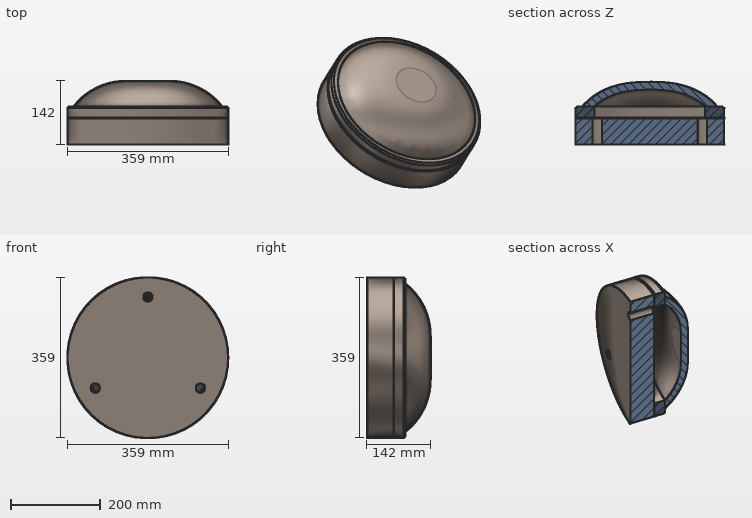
import cadquery as cq
import math

outer_radius = 179.5
total_depth = 142.0

base_depth = 58.5
gasket_depth = 2.0
rim_depth = 24.8
rim_start = base_depth + gasket_depth
rim_end = rim_start + rim_depth

gasket_inset = 2.0
rim_chamfer = 4.3
opening_radius = 140.5

hole_diameter = 20.0
hole_circle_radius = 135.5
hole_count = 3
first_hole_angle = 90.0

crown_radius = 47.7
dome_arc_radius = 150.0
arc_center_y = total_depth - dome_arc_radius
dome_foot_height = rim_end - arc_center_y
inner_arc_radius = math.hypot(opening_radius - crown_radius, dome_foot_height)


def ring(inner_radius, ring_radius, start, depth):
    """Flat ring about Y, from Y = start to Y = start + depth."""
    return (
        cq.Workplane("XZ", origin=(0, start, 0))
        .circle(ring_radius)
        .circle(inner_radius)
        .extrude(-depth)
    )


def arc_point(radius, angle):
    """Point (distance from axis, Y) on a dome arc; angle is measured from +Y."""
    return (crown_radius + radius * math.sin(angle), arc_center_y + radius * math.cos(angle))


def make_base():
    """Solid disc with equally spaced through holes."""
    disc = cq.Workplane("XZ").circle(outer_radius).extrude(-base_depth)
    holes = (
        cq.Workplane("XZ")
        .polarArray(hole_circle_radius, first_hole_angle, 360, hole_count)
        .circle(hole_diameter / 2)
        .extrude(-base_depth)
    )
    return disc.cut(holes)


def make_gasket():
    """Thin ring set back from the outer wall, leaving a narrow groove."""
    return ring(opening_radius, outer_radius - gasket_inset, base_depth, gasket_depth)


def make_rim():
    """Ring with a chamfered outer edge on the dome side."""
    blank = ring(opening_radius, outer_radius, rim_start, rim_depth)
    outer_edge = cq.selectors.RadiusNthSelector(-1)
    return blank.faces(">Y").edges(outer_edge).chamfer(rim_chamfer)


def make_dome():
    """Hollow dome standing on the rim."""
    outer_foot_angle = math.acos(dome_foot_height / dome_arc_radius)
    inner_foot_angle = math.acos(dome_foot_height / inner_arc_radius)
    return (
        cq.Workplane("XY")
        .moveTo(0, total_depth)
        .lineTo(crown_radius, total_depth)
        .threePointArc(
            arc_point(dome_arc_radius, outer_foot_angle / 2),
            arc_point(dome_arc_radius, outer_foot_angle),
        )
        .lineTo(opening_radius, rim_end)
        .threePointArc(
            arc_point(inner_arc_radius, inner_foot_angle / 2),
            arc_point(inner_arc_radius, 0),
        )
        .lineTo(0, arc_center_y + inner_arc_radius)
        .close()
        .revolve(360, (0, 0, 0), (0, 1, 0))
    )


base = make_base()
gasket = make_gasket()
rim = make_rim()
dome = make_dome()

result = cq.Compound.makeCompound([base.val(), gasket.val(), rim.val(), dome.val()])